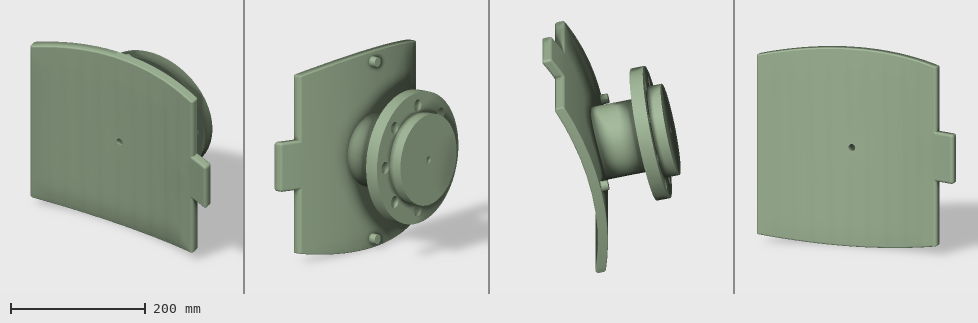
import cadquery as cq
import math

overall_width = 315.0
plate_half_width = 142.0
plate_crown_half_height = 150.0
plate_corner_half_height = 135.5
plate_thickness = 15.0
plate_inner_radius = 400.0
plate_outer_radius = plate_inner_radius + plate_thickness
curve_center_y = -plate_outer_radius
arched_edge_radius = 2.0

tab_end_x = overall_width - plate_half_width
tab_half_height = 37.5
side_edge_radius = 4.0

neck_diameter = 110.2
neck_end_y = 65.0
flange_diameter = 200.0
flange_thickness = 20.2
flange_end_y = neck_end_y + flange_thickness
spigot_diameter = 138.0
spigot_length = 20.2
spigot_end_y = flange_end_y + spigot_length

bolt_count = 8
bolt_hole_diameter = 18.0
bolt_circle_diameter = 160.0

center_hole_diameter = 10.5
pin_base_diameter = 16.0
pin_tip_diameter = 14.5
pin_end_y = 10.7
pin_center_z = 135.0

trim_margin = 3.0

root_y = -plate_thickness / 2


def cylinder_y(diameter, start_y, end_y, x=0.0, z=0.0):
    """Cylinder along +Y between two Y positions."""
    base = cq.Workplane("XZ", origin=(x, start_y, z))
    return base.circle(diameter / 2).extrude(start_y - end_y)


def make_plate():
    """Curved sheet cut to the arched plate outline with its side tab."""
    sheet_height = 2 * (plate_crown_half_height + trim_margin)
    sheet = (
        cq.Workplane("XY", origin=(0, curve_center_y, -sheet_height / 2))
        .circle(plate_outer_radius)
        .circle(plate_inner_radius)
        .extrude(sheet_height)
    )
    outline = (
        cq.Workplane("XZ", origin=(0, trim_margin, 0))
        .moveTo(-plate_half_width, -plate_corner_half_height)
        .threePointArc((0, -plate_crown_half_height), (plate_half_width, -plate_corner_half_height))
        .lineTo(plate_half_width, -tab_half_height)
        .lineTo(tab_end_x, -tab_half_height)
        .lineTo(tab_end_x, tab_half_height)
        .lineTo(plate_half_width, tab_half_height)
        .lineTo(plate_half_width, plate_corner_half_height)
        .threePointArc((0, plate_crown_half_height), (-plate_half_width, plate_corner_half_height))
        .close()
        .extrude(plate_outer_radius / 2)
    )
    return sheet.intersect(outline)


def round_plate_edges(plate):
    """Round the straight sides and the tab generously, then the arched ends finely."""
    straight_zone_height = 2 * (plate_corner_half_height - trim_margin)
    straight_zone = cq.selectors.BoxSelector(
        (-2 * tab_end_x, -plate_outer_radius, -straight_zone_height / 2),
        (2 * tab_end_x, plate_outer_radius, straight_zone_height / 2),
    )
    side_edges = plate.edges(straight_zone).edges("not |Y")
    tab_corners = plate.edges("|Y").edges(">X")
    rounded = plate.newObject(side_edges.vals() + tab_corners.vals()).fillet(side_edge_radius)
    for arched_end in (">Z", "<Z"):
        rounded = rounded.faces(arched_end).edges().fillet(arched_edge_radius)
    return rounded


def bolt_holes():
    """Ring of bolt holes through the flange, starting on the X axis."""
    holes = cq.Workplane("XZ")
    for index in range(bolt_count):
        angle = 2 * math.pi * index / bolt_count
        x = bolt_circle_diameter / 2 * math.cos(angle)
        z = bolt_circle_diameter / 2 * math.sin(angle)
        holes = holes.add(cylinder_y(bolt_hole_diameter, neck_end_y, flange_end_y, x, z))
    return holes.combine()


def make_pin(center_z):
    """Slightly tapered pin, narrowest at its free end."""
    cone = cq.Solid.makeCone(
        pin_base_diameter / 2,
        pin_tip_diameter / 2,
        pin_end_y - root_y,
        pnt=cq.Vector(0, root_y, center_z),
        dir=cq.Vector(0, 1, 0),
    )
    return cq.Workplane(cone)


def make_supports():
    """Neck, flange and spigot on the back, with the two tapered pins near the arched ends."""
    neck = cylinder_y(neck_diameter, root_y, neck_end_y)
    neck = neck.union(cylinder_y(flange_diameter, neck_end_y, flange_end_y))
    supports = neck.union(cylinder_y(spigot_diameter, flange_end_y, spigot_end_y))
    for side in (1, -1):
        supports = supports.union(make_pin(side * pin_center_z))
    return supports


plate = round_plate_edges(make_plate())
result = plate.union(make_supports())
result = result.cut(bolt_holes())
result = result.cut(cylinder_y(center_hole_diameter, -2 * plate_thickness, spigot_end_y))